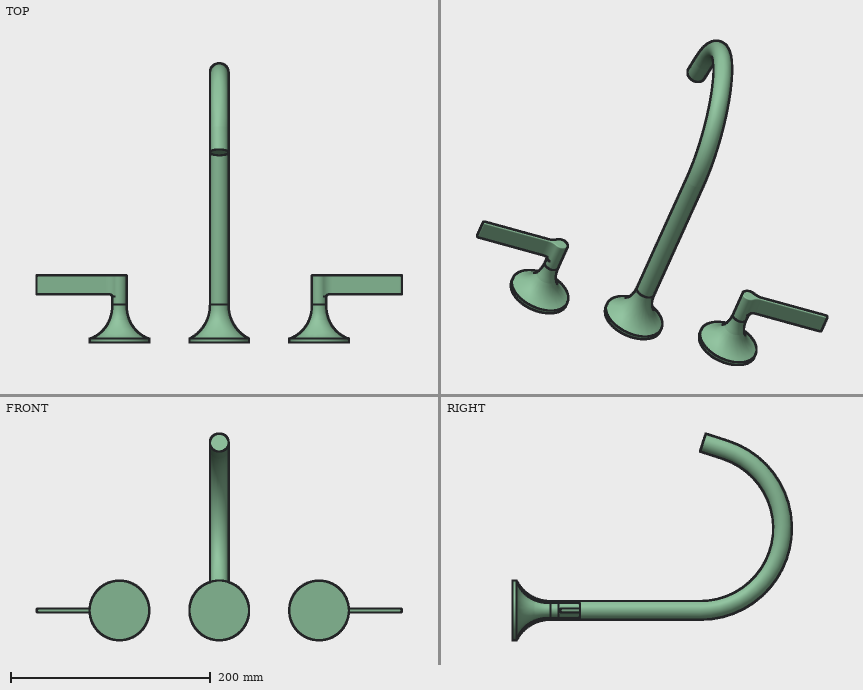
import cadquery as cq
import math

OVERALL_WIDTH = 366.0
OVERALL_DEPTH = 280.0
HANDLE_SPACING = 100.0

FLANGE_RADIUS = 30.0
RIM_THICKNESS = 4.0
FLANGE_LENGTH = 38.0
FLARE_END = 37.0

SPOUT_RADIUS = 9.5
BEND_RADIUS = 82.5
BEND_ANGLE = 162.0
OUTLET_LENGTH = 24.0

STEM_RADIUS = 7.5
FLARE_JOIN_RADIUS = 10.2
FLARE_JOIN_Y = 22.5
STEM_END = 67.7
LEVER_TIP_X = OVERALL_WIDTH / 2 - HANDLE_SPACING
LEVER_WIDTH = 19.5
LEVER_SIDE_Y = STEM_END - LEVER_WIDTH
LEVER_THICKNESS = 4.5
BLEND_RADIUS = 12.5
ROOT_FILLET = 2.2
EDGE_FILLET = 1.0
SELECTION_MARGIN = 0.5


def flare_middle(start_radius, start_y, end_radius, end_y):
    """Halfway point of the concave arc that leaves the start parallel to the axis."""
    rise = end_radius - start_radius
    run = start_y - end_y
    arc_radius = (rise**2 + run**2) / (2 * rise)
    half_angle = math.asin(run / arc_radius) / 2
    return (
        start_radius + arc_radius * (1 - math.cos(half_angle)),
        start_y - arc_radius * math.sin(half_angle),
    )


def revolve_flange(flare, neck_radius):
    """Close a flare outline, drawn from the neck down to the rim, and turn it about the Y axis."""
    return (
        flare.lineTo(FLANGE_RADIUS, 0)
        .lineTo(0, 0)
        .lineTo(0, FLANGE_LENGTH)
        .lineTo(neck_radius, FLANGE_LENGTH)
        .close()
        .revolve(360, (0, 0), (0, 1))
    )


def make_spout_flange():
    """Trumpet-shaped wall flange whose flare is one concave arc."""
    rim = (FLANGE_RADIUS, RIM_THICKNESS)
    neck = (SPOUT_RADIUS, FLARE_END)
    flare = cq.Workplane("XY").moveTo(*neck).threePointArc(flare_middle(*neck, *rim), rim)
    return revolve_flange(flare, SPOUT_RADIUS)


def make_handle_flange():
    """Slimmer wall flange whose flare is two tangent concave arcs."""
    rim = (FLANGE_RADIUS, RIM_THICKNESS)
    neck = (STEM_RADIUS, FLARE_END)
    join = (FLARE_JOIN_RADIUS, FLARE_JOIN_Y)
    flare = (
        cq.Workplane("XY")
        .moveTo(*neck)
        .threePointArc(flare_middle(*neck, *join), join)
        .tangentArcPoint(rim, relative=False)
    )
    return revolve_flange(flare, STEM_RADIUS)


def make_spout():
    """Round bar that runs out from the wall, curls up and back, and ends in a straight outlet."""
    bend_start = OVERALL_DEPTH - SPOUT_RADIUS - BEND_RADIUS
    turn = math.radians(BEND_ANGLE)

    def bend_point(angle):
        return (
            bend_start + BEND_RADIUS * math.sin(angle),
            BEND_RADIUS * (1 - math.cos(angle)),
        )

    bend_end = bend_point(turn)
    outlet = (
        bend_end[0] + OUTLET_LENGTH * math.cos(turn),
        bend_end[1] + OUTLET_LENGTH * math.sin(turn),
    )
    path = (
        cq.Workplane("YZ")
        .moveTo(FLANGE_LENGTH, 0)
        .lineTo(bend_start, 0)
        .threePointArc(bend_point(turn / 2), bend_end)
        .lineTo(*outlet)
    )
    return (
        cq.Workplane("XZ", origin=(0, FLANGE_LENGTH, 0))
        .circle(SPOUT_RADIUS)
        .sweep(path)
    )


def make_lever_side_profile():
    """Lever cut by the XZ plane: a flat bar with a round tip, blended tangentially into the stem."""
    half_thickness = LEVER_THICKNESS / 2
    centre_z = half_thickness + BLEND_RADIUS
    centre_distance = STEM_RADIUS + BLEND_RADIUS
    centre_x = math.sqrt(centre_distance**2 - centre_z**2)
    touch_x = centre_x * STEM_RADIUS / centre_distance
    touch_z = centre_z * STEM_RADIUS / centre_distance
    middle_angle = (math.atan2(centre_z, centre_x) + math.pi / 2) / 2
    middle_x = centre_x - BLEND_RADIUS * math.cos(middle_angle)
    middle_z = centre_z - BLEND_RADIUS * math.sin(middle_angle)
    tip_start = LEVER_TIP_X - half_thickness
    return (
        cq.Workplane("XZ", origin=(0, STEM_END, 0))
        .lineTo(touch_x, touch_z)
        .threePointArc((middle_x, middle_z), (centre_x, half_thickness))
        .lineTo(tip_start, half_thickness)
        .threePointArc((LEVER_TIP_X, 0), (tip_start, -half_thickness))
        .lineTo(centre_x, -half_thickness)
        .threePointArc((middle_x, -middle_z), (touch_x, -touch_z))
        .close()
    )


def make_lever_plan():
    """Lever outline in the XY plane, with a small concave corner where its side meets the stem."""
    root_y = LEVER_SIDE_Y - ROOT_FILLET
    corner_x = STEM_RADIUS + ROOT_FILLET
    arc_offset = ROOT_FILLET * math.sqrt(0.5)
    return (
        cq.Workplane("XY")
        .moveTo(0, STEM_END)
        .lineTo(0, root_y)
        .lineTo(STEM_RADIUS, root_y)
        .threePointArc((corner_x - arc_offset, root_y + arc_offset), (corner_x, LEVER_SIDE_Y))
        .lineTo(LEVER_TIP_X, LEVER_SIDE_Y)
        .lineTo(LEVER_TIP_X, STEM_END)
        .close()
    )


def make_handle():
    """Stem along Y with a flat lever that points along +X and blends into the stem."""
    stem = (
        cq.Workplane("XZ", origin=(0, FLANGE_LENGTH, 0))
        .circle(STEM_RADIUS)
        .extrude(FLANGE_LENGTH - STEM_END)
    )
    lever_block = make_lever_side_profile().extrude(LEVER_WIDTH + ROOT_FILLET)
    lever = lever_block.intersect(make_lever_plan().extrude(STEM_RADIUS, both=True))
    handle = stem.union(lever)

    handle = handle.faces(">Y").edges().fillet(EDGE_FILLET)
    side_edges = cq.selectors.BoxSelector(
        (STEM_RADIUS, LEVER_SIDE_Y - SELECTION_MARGIN, -STEM_RADIUS),
        (LEVER_TIP_X + SELECTION_MARGIN, LEVER_SIDE_Y + SELECTION_MARGIN, STEM_RADIUS),
        boundingbox=True,
    )
    return handle.edges(side_edges).fillet(EDGE_FILLET)


spout_flange = make_spout_flange()
spout = make_spout()
bodies = [spout_flange.val(), spout.val()]
for side in (-1, 1):
    position = (side * HANDLE_SPACING, 0, 0)
    lever_turn = 0 if side > 0 else 180
    handle_flange = make_handle_flange().translate(position)
    handle = make_handle().rotate((0, 0, 0), (0, 1, 0), lever_turn).translate(position)
    bodies += [handle_flange.val(), handle.val()]

result = cq.Compound.makeCompound(bodies)